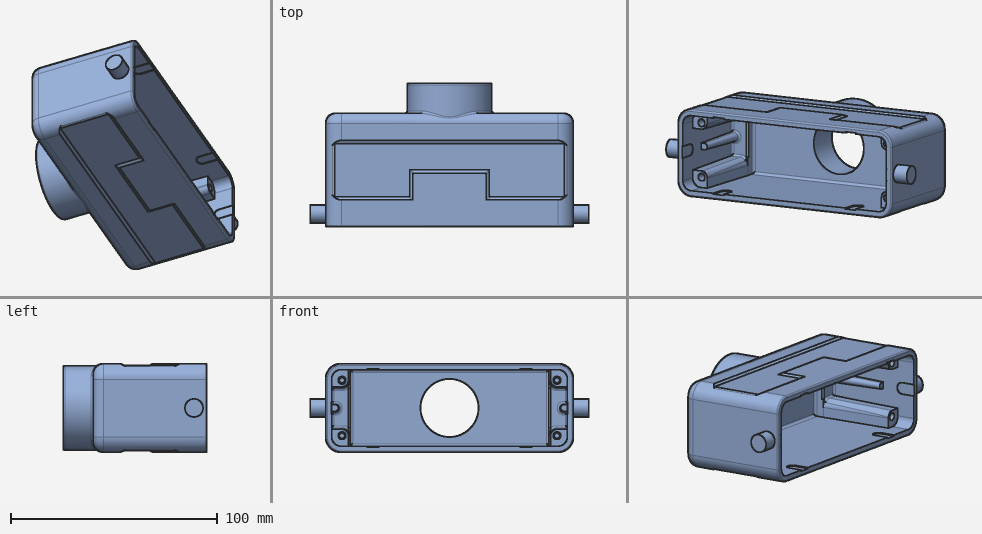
import cadquery as cq
import math

BODY_LENGTH = 120.0
BODY_HEIGHT = 43.0
BODY_DEPTH = 55.0
CORNER_RADIUS = 7.5
BACK_ROUND = 5.0
RIM_ROUND = 0.8
WALL = 3.0

ENTRY_DIAMETER = 41.0
ENTRY_BORE = 28.0
ENTRY_END = 69.5
ENTRY_END_ROUND = 0.8
ENTRY_ROOT_ROUND = 1.1

PIN_DIAMETER = 8.8
PIN_SPAN = 135.0
PIN_FROM_MOUTH = 6.2

CAVITY_HALF_LENGTH = BODY_LENGTH / 2 - WALL
CAVITY_HALF_HEIGHT = BODY_HEIGHT / 2 - WALL
CAVITY_CORNER = CORNER_RADIUS - WALL
FLOOR_Y = BODY_DEPTH - WALL
FLOOR_ROUND = 1.3
BAY_FLOOR_Y = 47.0
BAY_ROUND = 1.0
BAY_STEP_WIDTH = 19.0
WELL_HALF_LENGTH = 48.1

POST_X = 52.0
POST_Z = 13.4
POST_RADIUS = 3.1
POST_FRONT_Y = 9.4
POST_INNER_X = POST_X - POST_RADIUS
POST_DRAFT = math.degrees(math.atan((POST_INNER_X - WELL_HALF_LENGTH) / (BAY_FLOOR_Y - POST_FRONT_Y)))
POST_HOLE_MOUTH = 3.7
POST_HOLE_END = 2.7
POST_HOLE_DEPTH = 15.0

RIB_X = 55.3
RIB_FRONT_RADIUS = 1.6
RIB_ROOT_RADIUS = 2.3
RIB_FRONT_Y = 17.8

SLOT_X = 37.0
SLOT_WIDTH = 5.7
SLOT_LENGTH = 9.8
SLOT_DEPTH = 0.5
END_SLOT_DEPTH = 0.2

LABEL_DEPTH = 0.85
LABEL_SLOPE = 1.6
LABEL_FRONT_Y = 14.6
LABEL_BACK_Y = 40.2
LABEL_HALF_LENGTH = 55.5
LABEL_END_X = 56.7
LABEL_END_DEPTH = 1.27
TAB_HALF_WIDTH = 19.3
TAB_BACK_Y = 27.6
LABEL_CORNER = 1.0

SIDES = (-1, 1)


def prism_along_y(length, height, start, end):
    """Centred box of the given X length and Z height, between two Y positions."""
    return cq.Workplane("XY").box(length, end - start, height).translate((0, (start + end) / 2, 0))


def cylinder_along_y(x, z, diameter, start, end):
    """Cylinder on the axis at (x, z), between two Y positions."""
    direction = cq.Vector(0, 1, 0)
    solid = cq.Solid.makeCylinder(diameter / 2, end - start, cq.Vector(x, start, z), direction)
    return cq.Workplane(obj=solid)


def outer_body():
    """Solid block with rounded corners, back and mouth rim."""
    body = prism_along_y(BODY_LENGTH, BODY_HEIGHT, 0, BODY_DEPTH)
    body = body.edges("|Y").fillet(CORNER_RADIUS)
    body = body.faces(">Y").edges().fillet(BACK_ROUND)
    return body.faces("<Y").edges().fillet(RIM_ROUND)


def cable_entry():
    """Round tube stub on the back, still without its bore."""
    entry = cylinder_along_y(0, 0, ENTRY_DIAMETER, FLOOR_Y - BACK_ROUND, ENTRY_END)
    return entry.faces(">Y").edges().fillet(ENTRY_END_ROUND)


def entry_root_zone():
    """Selects the seam where the entry tube leaves the rounded back of the body."""
    reach = ENTRY_DIAMETER / 2 + ENTRY_ROOT_ROUND
    return cq.selectors.BoxSelector(
        (-reach, BODY_DEPTH - BACK_ROUND, -reach),
        (reach, BODY_DEPTH + ENTRY_ROOT_ROUND, reach),
        boundingbox=True,
    )


def locking_pins():
    """One rod through the hood; its ends are the pins and the cavity removes its middle."""
    pins = cq.Solid.makeCylinder(
        PIN_DIAMETER / 2,
        PIN_SPAN,
        cq.Vector(-PIN_SPAN / 2, PIN_FROM_MOUTH, 0),
        cq.Vector(1, 0, 0),
    )
    return cq.Workplane(obj=pins)


def post(x_side, z_side):
    """Drafted corner post that grows towards the floor, rounded around its screw hole."""
    reach = 2 * CORNER_RADIUS
    length = FLOOR_Y + WALL / 2 - POST_FRONT_Y
    blank = (
        cq.Workplane("XZ", origin=(POST_X, POST_FRONT_Y, POST_Z))
        .moveTo(reach, -POST_RADIUS)
        .lineTo(0, -POST_RADIUS)
        .radiusArc((-POST_RADIUS, 0), POST_RADIUS)
        .lineTo(-POST_RADIUS, reach)
        .lineTo(reach, reach)
        .close()
        .extrude(-length, taper=-POST_DRAFT)
    )
    if x_side < 0:
        blank = blank.mirror("YZ")
    if z_side < 0:
        blank = blank.mirror("XY")
    return blank


def rib():
    """Drafted half-round rib on the +X end wall."""
    length = BAY_FLOOR_Y - RIB_FRONT_Y
    draft = math.degrees(math.atan((RIB_ROOT_RADIUS - RIB_FRONT_RADIUS) / length))
    return (
        cq.Workplane("XZ", origin=(RIB_X, RIB_FRONT_Y, 0))
        .moveTo(WALL, -RIB_FRONT_RADIUS)
        .lineTo(0, -RIB_FRONT_RADIUS)
        .threePointArc((-RIB_FRONT_RADIUS, 0), (0, RIB_FRONT_RADIUS))
        .lineTo(WALL, RIB_FRONT_RADIUS)
        .close()
        .extrude(-length, taper=-draft)
    )


def bay_step(x_side):
    """Sliver removed to round the bay floor over into the deeper well."""
    radius = POST_INNER_X - WELL_HALF_LENGTH
    sliver = (
        cq.Workplane("XY")
        .moveTo(WELL_HALF_LENGTH, BAY_FLOOR_Y)
        .lineTo(POST_INNER_X, BAY_FLOOR_Y)
        .radiusArc((WELL_HALF_LENGTH, BAY_FLOOR_Y + radius), -radius)
        .close()
        .extrude(BAY_STEP_WIDTH / 2, both=True)
    )
    return sliver if x_side > 0 else sliver.mirror("YZ")


def bay(x_side):
    """Pocket between the two posts of one end, with rounded floor edges around posts and rib."""
    length = CAVITY_HALF_LENGTH - POST_INNER_X
    pocket = prism_along_y(length, 2 * POST_Z, 0, BAY_FLOOR_Y)
    pocket = pocket.translate((POST_INNER_X + length / 2, 0, 0))
    pocket = pocket.cut(rib())
    for z_side in SIDES:
        pocket = pocket.cut(post(1, z_side))
    floor_edges = pocket.faces(">Y").edges("not <X")
    pocket = floor_edges.fillet(BAY_ROUND)
    return pocket if x_side > 0 else pocket.mirror("YZ")


def cavity():
    """Everything removed from inside the hood, with posts, bay floors and ribs left standing."""
    height = 2 * CAVITY_HALF_HEIGHT
    space = prism_along_y(2 * CAVITY_HALF_LENGTH, height, 0, POST_FRONT_Y)
    space = space.edges("|Y").fillet(CAVITY_CORNER)
    space = space.union(prism_along_y(2 * POST_INNER_X, height, 0, BAY_FLOOR_Y))
    for x_side in SIDES:
        for z_side in SIDES:
            space = space.cut(post(x_side, z_side))
    well = prism_along_y(2 * WELL_HALF_LENGTH, height, 0, FLOOR_Y)
    space = space.union(well.faces(">Y").edges().fillet(FLOOR_ROUND))
    for x_side in SIDES:
        space = space.union(bay(x_side)).union(bay_step(x_side))
    return space


def post_holes():
    """Tapered screw holes down the axes of the four posts."""
    holes = cq.Workplane("XY")
    for x in (-POST_X, POST_X):
        for z in (-POST_Z, POST_Z):
            cone = cq.Solid.makeCone(
                POST_HOLE_MOUTH / 2,
                POST_HOLE_END / 2,
                POST_HOLE_DEPTH,
                cq.Vector(x, POST_FRONT_Y, z),
                cq.Vector(0, 1, 0),
            )
            holes = holes.add(cone)
    return holes.combine()


def relief_slots():
    """Round-ended slots in the long walls (two each) and in the end walls (one each)."""
    centre_y = SLOT_LENGTH - SLOT_WIDTH / 2
    across_z = 2 * (CAVITY_HALF_HEIGHT + SLOT_DEPTH)
    across_x = 2 * (CAVITY_HALF_LENGTH + END_SLOT_DEPTH)

    def slot_bar(plane, height):
        straight = cq.Workplane(plane).rect(SLOT_WIDTH, 2 * centre_y).extrude(height / 2, both=True)
        tip = cq.Workplane(plane).center(0, centre_y).circle(SLOT_WIDTH / 2).extrude(height / 2, both=True)
        return straight.union(tip)

    upright = slot_bar("XY", across_z)
    slots = slot_bar("XY", across_x).rotate((0, 0, 0), (0, 1, 0), 90)
    for x in (-SLOT_X, SLOT_X):
        slots = slots.union(upright.translate((x, 0, 0)))
    return slots


def label_outline(growth):
    """Rectangle with the tab notched out of its front side, offset outwards by growth."""
    far_x = BODY_LENGTH / 2
    front = LABEL_FRONT_Y - growth
    tab_x = TAB_HALF_WIDTH - growth
    tab_back = TAB_BACK_Y - growth
    back = LABEL_BACK_Y + growth
    return [
        (-far_x, front),
        (-tab_x, front),
        (-tab_x, tab_back),
        (tab_x, tab_back),
        (tab_x, front),
        (far_x, front),
        (far_x, back),
        (-far_x, back),
    ]


def label_recess():
    """Sloped-wall recess in the +Z face whose floor dips where it meets the rounded corners."""
    top = BODY_HEIGHT / 2
    slope = LABEL_SLOPE / LABEL_DEPTH
    above = LABEL_DEPTH
    deepest = top - LABEL_END_DEPTH
    walls = (
        cq.Workplane("XY", origin=(0, 0, deepest))
        .polyline(label_outline((LABEL_DEPTH - LABEL_END_DEPTH) * slope))
        .close()
        .workplane(offset=LABEL_END_DEPTH + above)
        .polyline(label_outline((LABEL_DEPTH + above) * slope))
        .close()
        .loft(ruled=True)
    )
    section = (
        cq.Workplane("XZ")
        .polyline(
            [
                (-LABEL_END_X, deepest),
                (-LABEL_HALF_LENGTH, top - LABEL_DEPTH),
                (LABEL_HALF_LENGTH, top - LABEL_DEPTH),
                (LABEL_END_X, deepest),
                (LABEL_END_X, top + above),
                (-LABEL_END_X, top + above),
            ]
        )
        .close()
        .extrude(-BODY_DEPTH)
    )
    walls = walls.edges("not #Z").fillet(LABEL_CORNER)
    return walls.intersect(section)


def build():
    hood = outer_body().union(cable_entry())
    hood = hood.edges(entry_root_zone()).fillet(ENTRY_ROOT_ROUND)
    hood = hood.union(locking_pins())
    hood = hood.cut(relief_slots().intersect(prism_along_y(BODY_LENGTH, BODY_HEIGHT, 0, SLOT_LENGTH)))
    hood = hood.cut(cavity()).cut(cylinder_along_y(0, 0, ENTRY_BORE, 0, ENTRY_END))
    hood = hood.cut(post_holes())
    recess = label_recess()
    return hood.cut(recess).cut(recess.mirror("XY"))


result = build()